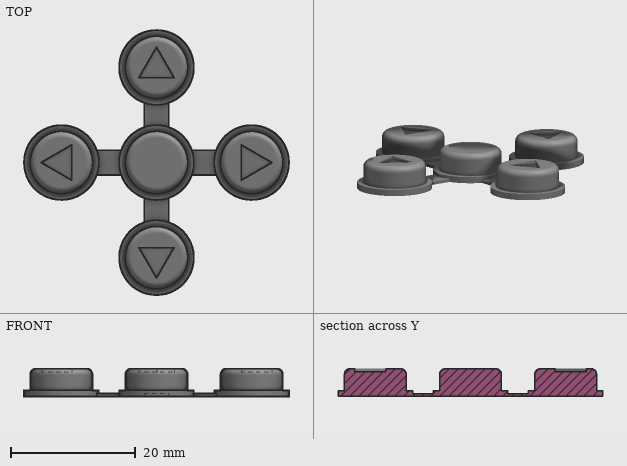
import cadquery as cq

button_pitch = 15.24
arrow_directions = (0, 90, 180, 270)

flange_diameter = 12.0
flange_thickness = 1.0
cap_diameter = 10.0
total_height = 4.5
cap_fillet = 1.0

web_width = 4.0
web_thickness = 0.5

arrow_circumscribed_diameter = 6.5
arrow_depth = 0.5


def make_button():
    """Round cap with a rounded top rim, standing on a thin flange."""
    flange = cq.Workplane("XY").circle(flange_diameter / 2).extrude(flange_thickness)
    cap = (
        cq.Workplane("XY")
        .circle(cap_diameter / 2)
        .extrude(total_height)
        .faces(">Z")
        .edges()
        .fillet(cap_fillet)
    )
    return flange.union(cap)


def make_arrow_button():
    """Button with an equilateral triangle, pointing to +X, sunk into its top."""
    arrow = (
        cq.Workplane("XY")
        .workplane(offset=total_height - arrow_depth)
        .polygon(3, arrow_circumscribed_diameter)
        .extrude(arrow_depth)
    )
    return make_button().cut(arrow)


def make_arm():
    """Flat web along +X from the centre button, with an arrow button at its end."""
    web = cq.Workplane("XY").box(
        button_pitch, web_width, web_thickness, centered=(False, True, False)
    )
    return web.union(make_arrow_button().translate((button_pitch, 0, 0)))


result = make_button()
for direction in arrow_directions:
    result = result.union(make_arm().rotate((0, 0, 0), (0, 0, 1), direction))